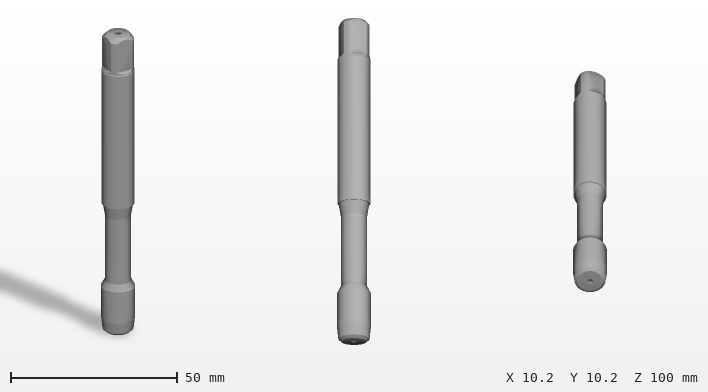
import cadquery as cq

total_length = 100.0
coolant_diameter = 1.7
countersink_diameter = 2.3
countersink_depth = 0.6

head_diameter = 10.2
lead_diameter = 9.4
tip_diameter = 7.6
tip_chamfer_height = 0.8
lead_top = 4.5
head_shoulder = 15.0
head_top = 16.7

neck_diameter = 7.9
neck_bottom = 17.2
neck_taper_bottom = 39.0
neck_taper_diameter = 9.3
shank_bottom = 43.0
shank_diameter = 10.0

shoulder_slope = (head_diameter - neck_diameter) / (neck_bottom - head_shoulder)
joint_diameter = neck_diameter + shoulder_slope * (neck_bottom - head_top)

square_width = 8.0
square_corner_diameter = 9.6
square_length = 11.0
shoulder_length = 12.2
top_face_diameter = 6.8


def revolve_profile(points):
    """Revolve an outline of (radius, z) points about the Z axis."""
    return cq.Workplane("XZ").polyline(points).close().revolve(360, (0, 0, 0), (0, 1, 0))


def drill_coolant_hole(body):
    """Cut the axial coolant hole through a body."""
    return body.cut(cq.Workplane("XY").circle(coolant_diameter / 2).extrude(total_length))


def make_head():
    """Threading head with its tip chamfer, lead taper and upper shoulder."""
    blank = revolve_profile([
        (0, 0),
        (tip_diameter / 2, 0),
        (lead_diameter / 2, tip_chamfer_height),
        (head_diameter / 2, lead_top),
        (head_diameter / 2, head_shoulder),
        (joint_diameter / 2, head_top),
        (0, head_top),
    ])
    return drill_coolant_hole(blank)


def make_drive_flat_cutter():
    """Material removed on the +X side: a flat with a 45 degree run-out at its foot."""
    flat_offset = square_width / 2
    reach = shank_diameter
    flat_bottom = total_length - square_length
    run_out = reach - flat_offset
    return (
        cq.Workplane("XZ")
        .polyline([
            (flat_offset, total_length),
            (flat_offset, flat_bottom),
            (reach, flat_bottom - run_out),
            (reach, total_length),
        ])
        .close()
        .extrude(shank_diameter, both=True)
    )


def make_countersink():
    """Conical mouth of the coolant hole in the top face."""
    return revolve_profile([
        (0, total_length),
        (countersink_diameter / 2, total_length),
        (coolant_diameter / 2, total_length - countersink_depth),
        (0, total_length - countersink_depth),
    ])


def make_shank():
    """Neck, shank and drive square in one body."""
    shank_radius = shank_diameter / 2
    corner_radius = square_corner_diameter / 2
    top_radius = top_face_diameter / 2
    shoulder_z = total_length - shoulder_length
    body = revolve_profile([
        (0, head_top),
        (joint_diameter / 2, head_top),
        (neck_diameter / 2, neck_bottom),
        (neck_diameter / 2, neck_taper_bottom),
        (neck_taper_diameter / 2, shank_bottom),
        (shank_radius, shank_bottom),
        (shank_radius, shoulder_z),
        (corner_radius, shoulder_z + shank_radius - corner_radius),
        (corner_radius, total_length - (corner_radius - top_radius)),
        (top_radius, total_length),
        (0, total_length),
    ])
    flat_cutter = make_drive_flat_cutter()
    for angle in (0, 90, 180, 270):
        body = body.cut(flat_cutter.rotate((0, 0, 0), (0, 0, 1), angle))
    return drill_coolant_hole(body).cut(make_countersink())


head = make_head()
shank = make_shank()

result = cq.Compound.makeCompound([head.val(), shank.val()])